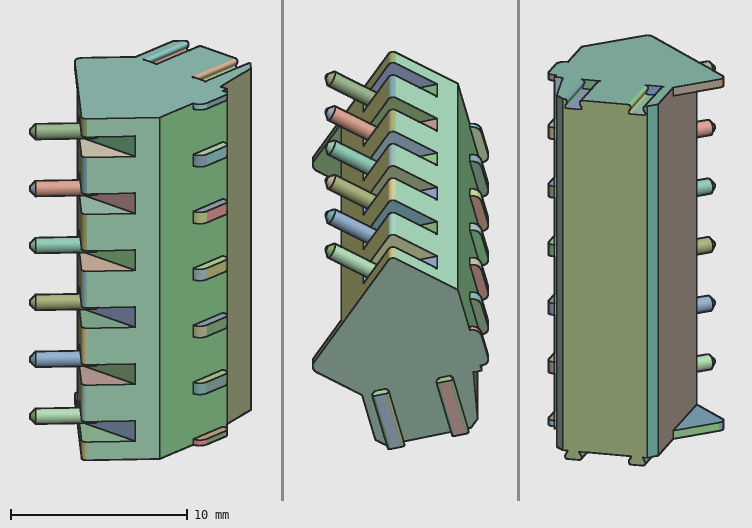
import cadquery as cq
import math


pole_count = 6
pitch = 3.5
body_length = pole_count * pitch

mating_height = 3.65
left_wall_x = -7.0
mating_chamfer = 0.5
mating_right_x = -1.03
shoulder_width = 0.5
right_wall_bottom_y = -5.68
pin_face_sum = -11.93
wing_face_offset = 7.0
tip_radius = 0.3
wing_radius = 0.5
wing_thickness = 0.5

lug_width = 0.7
lug_projection = 0.55
lug_top_y = -0.35
lug_height = 2.5
lug_top_radius = 0.4
lug_embed = 0.5

cutter_size = 20.0

slot_width = 1.25
slot_roof_y = -6.65

pin_diameter = 0.9
pin_chamfer = 0.32
pin_axis_offset = 2.25
overall_depth = 12.83
pin_lowest_y = mating_height - overall_depth
pin_embed = 1.0

joint_centers_x = (-5.9, -2.15)
dovetail_angle = math.radians(60)
rail_depth = 0.5
rail_root_half_width = 0.33
rail_length = 3.75
groove_depth = 0.55
groove_mouth_half_width = 0.246
groove_length = mating_height
rail_radius = 0.17
groove_lip_radius = 0.17
groove_floor_radius = 0.1


def make_wing_profile():
    """Full outline, with the pointed wing on the left."""
    tip_y = (pin_face_sum + right_wall_bottom_y) / 2
    tip_x = pin_face_sum - tip_y
    wing_y = (pin_face_sum + wing_face_offset) / 2
    wing_x = pin_face_sum - wing_y
    points = [
        (left_wall_x, mating_height - mating_chamfer),
        (left_wall_x + mating_chamfer, mating_height),
        (mating_right_x - mating_chamfer, mating_height),
        (mating_right_x, mating_height - mating_chamfer),
        (-shoulder_width, 0),
        (0, 0),
        (0, right_wall_bottom_y),
        (tip_x, tip_y),
        (wing_x, wing_y),
        (left_wall_x, left_wall_x + wing_face_offset),
    ]
    outline = cq.Workplane("XY").polyline(points).close().extrude(body_length)
    outline = outline.edges("|Z").edges("<Y").fillet(tip_radius)
    return outline.edges("|Z").edges("<X").fillet(wing_radius)


def make_housing():
    """Housing with the wings kept only at the two ends."""
    recess_length = body_length - 2 * wing_thickness
    recess = cq.Workplane("XY").box(cutter_size, cutter_size, recess_length).translate(
        (left_wall_x - cutter_size / 2, 0, body_length / 2)
    )
    return make_wing_profile().cut(recess)


def make_lug(center_z):
    """Latching lug on the right wall, trimmed to the housing length; its lower edge is fully rounded."""
    bottom_z = max(center_z - lug_width / 2, 0)
    top_z = min(center_z + lug_width / 2, body_length)
    lug = cq.Workplane("XY").box(lug_embed + lug_projection, lug_height, top_z - bottom_z, centered=False)
    lug = lug.edges("|Z and >X and >Y").fillet(lug_top_radius)
    lug = lug.edges("|Z and >X and <Y").fillet(lug_projection)
    return lug.translate((-lug_embed, lug_top_y - lug_height, bottom_z))


def make_slot(center_z):
    """Slot that opens the lower edge of the housing around one pin."""
    return cq.Workplane("XY").box(cutter_size, cutter_size, slot_width).translate(
        (0, slot_roof_y - cutter_size / 2, center_z)
    )


def make_pin(center_z):
    """Round solder pin with a chamfered end, running down and to the left."""
    radius = pin_diameter / 2
    slope = math.sqrt(0.5)
    chamfer_y = pin_lowest_y + radius * slope
    end_y = chamfer_y - pin_chamfer * slope
    end_x = end_y + pin_axis_offset
    length = (slot_roof_y - end_y) / slope + pin_embed
    plane = cq.Plane(origin=(end_x, end_y, center_z), xDir=(0, 0, 1), normal=(1, 1, 0))
    pin = cq.Workplane(plane).circle(radius).extrude(length)
    return pin.faces("<X").chamfer(pin_chamfer)


def make_dovetail(center_x, face_z, mouth_half_width, depth, length, base_radius):
    """Dovetail bar that hangs below face_z, widens downward and has rounded lower edges."""
    base_half_width = mouth_half_width + depth / math.tan(dovetail_angle)
    bar = (
        cq.Workplane("XZ", origin=(center_x, mating_height - length, face_z))
        .moveTo(-mouth_half_width, 0)
        .lineTo(mouth_half_width, 0)
        .lineTo(base_half_width, -depth)
        .lineTo(-base_half_width, -depth)
        .close()
        .extrude(-length)
    )
    return bar.edges("|Y and <Z").fillet(base_radius)


def make_groove_lip(center_x):
    """Cutter that rounds both edges of a groove mouth."""
    tangent_x = groove_mouth_half_width + groove_lip_radius / math.tan(dovetail_angle / 2)
    arc_end_x = tangent_x - groove_lip_radius * math.sin(dovetail_angle)
    arc_end_z = -groove_lip_radius * (1 + math.cos(dovetail_angle))
    neck = (tangent_x - groove_lip_radius, -groove_lip_radius)
    return (
        cq.Workplane("XZ", origin=(center_x, mating_height - groove_length, body_length))
        .moveTo(-tangent_x, 0)
        .lineTo(tangent_x, 0)
        .threePointArc(neck, (arc_end_x, arc_end_z))
        .lineTo(-arc_end_x, arc_end_z)
        .threePointArc((-neck[0], neck[1]), (-tangent_x, 0))
        .close()
        .extrude(-groove_length)
    )


part = make_housing()

for joint_x in joint_centers_x:
    groove = make_dovetail(
        joint_x, body_length, groove_mouth_half_width, groove_depth, groove_length, groove_floor_radius
    )
    part = part.cut(groove).cut(make_groove_lip(joint_x))
    rail = make_dovetail(joint_x, 0, rail_root_half_width, rail_depth, rail_length, rail_radius)
    part = part.union(rail)

for lug_index in range(pole_count + 1):
    part = part.union(make_lug(lug_index * pitch))

for pole_index in range(pole_count):
    pole_z = (pole_index + 0.5) * pitch
    part = part.cut(make_slot(pole_z))
    part = part.union(make_pin(pole_z))

result = part